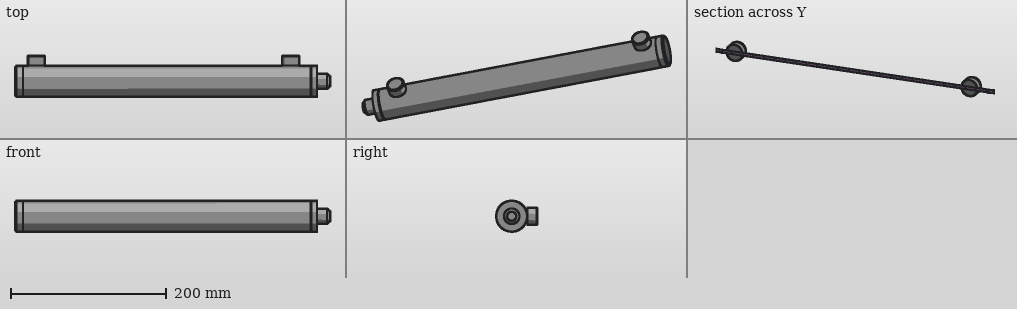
import cadquery as cq

total_length = 405.0
body_diameter = 40.0
body_radius = body_diameter / 2
cap_length = 10.0
cap_chamfer = 2.0
ring_length = 1.2
gland_length = 7.3

rod_diameter = 20.0
rod_length = 17.0
rod_chamfer = 4.0

port_diameter = 22.3
port_height = 13.0
port_chamfer = 1.2
first_port_x = 27.0
port_spacing = 327.0

closed_end_x = -total_length / 2
barrel_start_x = closed_end_x + cap_length
rod_start_x = total_length / 2 - rod_length
gland_start_x = rod_start_x - gland_length
ring_start_x = gland_start_x - ring_length


def axial_cylinder(start_x, end_x, diameter):
    """Solid cylinder on the X axis between two stations."""
    return (
        cq.Workplane("YZ")
        .workplane(offset=start_x)
        .circle(diameter / 2)
        .extrude(end_x - start_x)
    )


def make_end_cap():
    """Closing cap with its outer rim chamfered."""
    cap = axial_cylinder(closed_end_x, barrel_start_x, body_diameter)
    return cap.faces("<X").chamfer(cap_chamfer)


def make_rod():
    """Rod end with a chamfered tip, meeting the gland face."""
    rod = axial_cylinder(rod_start_x, total_length / 2, rod_diameter)
    return rod.faces(">X").chamfer(rod_chamfer)


def make_port(center_x):
    """Round boss whose flat base touches the side of the barrel."""
    base = cq.Plane(origin=(center_x, body_radius, 0), xDir=(1, 0, 0), normal=(0, 1, 0))
    port = cq.Workplane(base).circle(port_diameter / 2).extrude(port_height)
    return port.faces(">Y").chamfer(port_chamfer)


end_cap = make_end_cap()
barrel = axial_cylinder(barrel_start_x, ring_start_x, body_diameter)
seal_ring = axial_cylinder(ring_start_x, gland_start_x, body_diameter)
gland = axial_cylinder(gland_start_x, rod_start_x, body_diameter)
rod = make_rod()

ports = []
for port_index in range(2):
    port_x = closed_end_x + first_port_x + port_index * port_spacing
    ports.append(make_port(port_x).val())

result = cq.Compound.makeCompound(
    [end_cap.val(), barrel.val(), seal_ring.val(), gland.val(), rod.val(), *ports]
)